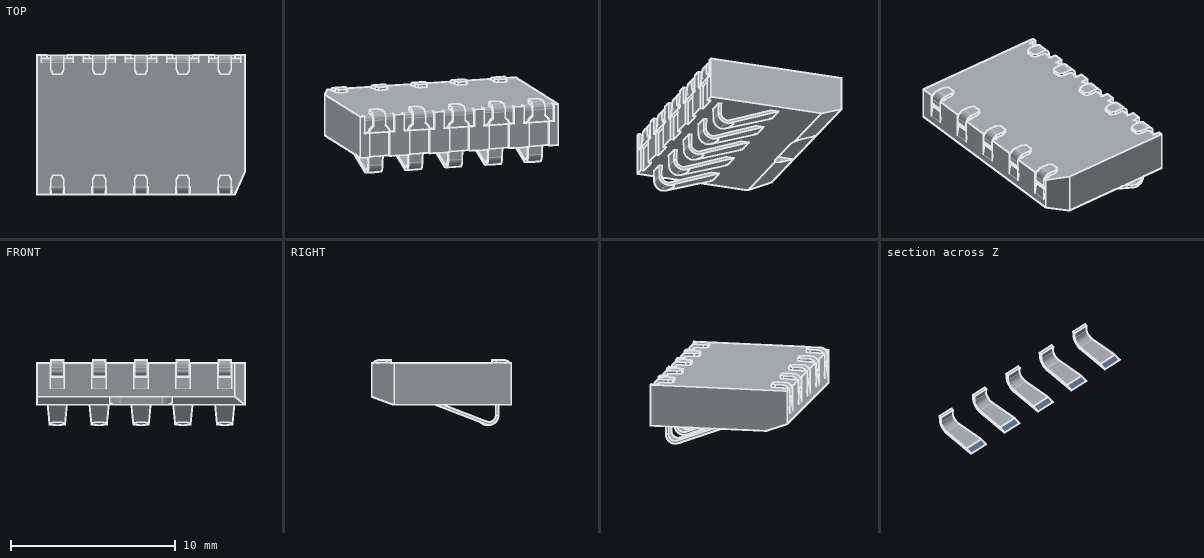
import cadquery as cq
import math


LENGTH = 12.62
WIDTH = 8.48
HEIGHT = 2.54
FRONT = -WIDTH / 2
BACK = WIDTH / 2
CORNER_CUT_X = 0.61
CORNER_CUT_Y = 1.37
BEVEL_RUN = 1.31
BEVEL_RISE = 0.48
NOTCH_LENGTH = 3.8
NOTCH_RADIUS = 0.6
NOTCH_WALL_Y = -2.83

CONTACT_COUNT = 5
PITCH = 2.54
STRIP = 0.18
HOOK_WIDTH = 0.78
HOOK_SETBACK = 0.02
HOOK_RADIUS = 0.44
HOOK_REACH = 1.16
TIP_CUT_X = 0.13
TIP_CUT_Y = 0.26
SEAT_RADIUS = HOOK_RADIUS - STRIP
SEAT_DEPTH = HOOK_SETBACK + STRIP
BEND_DEPTH = HOOK_SETBACK + HOOK_RADIUS
BEND_Z = HEIGHT + STRIP - HOOK_RADIUS

GROOVE_WIDTH = 0.87
GROOVE_BOTTOM_Z = 1.0
FOOT_DEPTH = 0.11
CURL_RADIUS = 0.38
CURL_START_Z = 2.05
CURL_BOTTOM_Z = CURL_START_Z - CURL_RADIUS

RECESS_WIDTH = 1.93
RECESS_BOTTOM_Z = 1.5
SLOT_WIDTH = 1.27
SHOULDER_WIDTH = 1.22
FLARE_WIDTH = 1.62
FLARE_RADIUS = (FLARE_WIDTH - SHOULDER_WIDTH) / 2
SHOULDER_DROP = 0.2

SPRING_OUTER_Y = 3.46
SPRING_RADIUS = 0.57
SPRING_BEND_Z = -0.65
SPRING_BEND_Y = SPRING_OUTER_Y - SPRING_RADIUS
SPRING_ANGLE = math.radians(21)
SPRING_WIDTH = 0.94
ARM_ROOT_WIDTH = 1.18
LEG_WIDTH = 0.88
LEG_ROOT_WIDTH = 1.0
LEG_TAPER_Z = -0.385
EMBED = 0.1

PAD_HEIGHT = 0.06
PAD_WIDTH = 0.82
PAD_RADIUS = 0.615
PAD_AXIS_Y = SPRING_BEND_Y - 0.09
PAD_AXIS_Z = SPRING_BEND_Z + 0.015
PAD_DEPTH = 0.12
PAD_START = -60
PAD_SWEEP = 80

UPPER_LEFT = 135
LOWER_LEFT = 225


def contact_positions():
    first = -PITCH * (CONTACT_COUNT - 1) / 2
    return [first + i * PITCH for i in range(CONTACT_COUNT)]


def extrude_x(profile, width):
    """Extrude a YZ outline symmetrically about x = 0."""
    return profile.extrude(width / 2, both=True)


def arc_point(center_u, center_v, radius, degrees):
    """Point on a circle, the angle counted from the first axis of the sketch plane."""
    angle = math.radians(degrees)
    return (center_u + radius * math.cos(angle), center_v + radius * math.sin(angle))


def mirror_to_back(shape):
    return shape.mirror("XZ")


def make_body():
    body = cq.Workplane("XY").box(LENGTH, WIDTH, HEIGHT, centered=(True, True, False))
    right = LENGTH / 2
    corner = (
        cq.Workplane("XY")
        .polyline([(right - CORNER_CUT_X, FRONT), (right, FRONT), (right, FRONT + CORNER_CUT_Y)])
        .close()
        .extrude(HEIGHT)
    )
    bevel = extrude_x(
        cq.Workplane("YZ")
        .polyline([(FRONT, 0), (FRONT + BEVEL_RUN, 0), (FRONT, BEVEL_RISE)])
        .close(),
        LENGTH,
    )
    notch_depth = NOTCH_WALL_Y - FRONT
    notch = (
        cq.Workplane("XY")
        .center(0, FRONT + notch_depth / 2)
        .rect(NOTCH_LENGTH, notch_depth)
        .extrude(BEVEL_RISE)
        .edges("|Z and >Y")
        .fillet(NOTCH_RADIUS)
    )
    return body.cut(corner).cut(bevel).cut(notch)


def make_edge_cut(width, bottom_z):
    """Cut into the front wall whose upper inner edge is rounded to seat a hook."""
    bend_y = FRONT + BEND_DEPTH
    seat_y = FRONT + SEAT_DEPTH
    profile = (
        cq.Workplane("YZ")
        .moveTo(bend_y, HEIGHT)
        .threePointArc(arc_point(bend_y, BEND_Z, SEAT_RADIUS, UPPER_LEFT), (seat_y, BEND_Z))
        .lineTo(seat_y, bottom_z)
        .lineTo(FRONT, bottom_z)
        .lineTo(FRONT, HEIGHT)
        .close()
    )
    return extrude_x(profile, width)


def make_front_cut():
    """Hook groove with a ledge below the curl and a foot sloping out to the wall."""
    foot = extrude_x(
        cq.Workplane("YZ")
        .polyline([
            (FRONT, GROOVE_BOTTOM_Z),
            (FRONT, CURL_BOTTOM_Z),
            (FRONT + FOOT_DEPTH, CURL_BOTTOM_Z),
        ])
        .close(),
        GROOVE_WIDTH,
    )
    return make_edge_cut(GROOVE_WIDTH, CURL_BOTTOM_Z).union(foot)


def make_back_cut():
    recess = make_edge_cut(RECESS_WIDTH, RECESS_BOTTOM_Z)
    slot = make_edge_cut(SLOT_WIDTH, 0)
    return mirror_to_back(recess.union(slot))


def make_hook_top():
    """Flat tongue on the body top plus the bend over the front edge, down to BEND_Z."""
    bend_y = FRONT + BEND_DEPTH
    outer_y = FRONT + HOOK_SETBACK
    tip_y = outer_y + HOOK_REACH
    top_z = HEIGHT + STRIP
    profile = (
        cq.Workplane("YZ")
        .moveTo(tip_y, HEIGHT)
        .lineTo(tip_y, top_z)
        .lineTo(bend_y, top_z)
        .threePointArc(arc_point(bend_y, BEND_Z, HOOK_RADIUS, UPPER_LEFT), (outer_y, BEND_Z))
        .lineTo(outer_y + STRIP, BEND_Z)
        .threePointArc(arc_point(bend_y, BEND_Z, SEAT_RADIUS, UPPER_LEFT), (bend_y, HEIGHT))
        .close()
    )
    hook = extrude_x(profile, HOOK_WIDTH)
    for side in (-1, 1):
        edge_x = side * HOOK_WIDTH / 2
        tip_cut = (
            cq.Workplane("XY")
            .workplane(offset=HEIGHT)
            .polyline([
                (edge_x, tip_y),
                (edge_x - side * TIP_CUT_X, tip_y),
                (edge_x, tip_y - TIP_CUT_Y),
            ])
            .close()
            .extrude(STRIP)
        )
        hook = hook.cut(tip_cut)
    return hook


def make_front_hook():
    outer_y = FRONT + HOOK_SETBACK
    curl_y = outer_y + CURL_RADIUS
    curl = extrude_x(
        cq.Workplane("YZ")
        .moveTo(outer_y, BEND_Z)
        .lineTo(outer_y, CURL_START_Z)
        .threePointArc(arc_point(curl_y, CURL_START_Z, CURL_RADIUS, LOWER_LEFT), (curl_y, CURL_BOTTOM_Z))
        .lineTo(curl_y, BEND_Z)
        .close(),
        HOOK_WIDTH,
    )
    return make_hook_top().union(curl)


def make_back_hook():
    """Hook whose downward strip widens to shoulders and flares out onto the recess floor."""
    shoulder_z = RECESS_BOTTOM_Z + FLARE_RADIUS
    half_shoulder = SHOULDER_WIDTH / 2
    half_flare = FLARE_WIDTH / 2
    right_mid = arc_point(half_flare, shoulder_z, FLARE_RADIUS, LOWER_LEFT)
    left_mid = (-right_mid[0], right_mid[1])
    strip = (
        cq.Workplane("XZ", origin=(0, BACK - HOOK_SETBACK, 0))
        .moveTo(-HOOK_WIDTH / 2, BEND_Z)
        .lineTo(HOOK_WIDTH / 2, BEND_Z)
        .lineTo(HOOK_WIDTH / 2, shoulder_z + SHOULDER_DROP)
        .lineTo(half_shoulder, shoulder_z)
        .threePointArc(right_mid, (half_flare, RECESS_BOTTOM_Z))
        .lineTo(-half_flare, RECESS_BOTTOM_Z)
        .threePointArc(left_mid, (-half_shoulder, shoulder_z))
        .lineTo(-HOOK_WIDTH / 2, shoulder_z + SHOULDER_DROP)
        .close()
        .extrude(STRIP)
    )
    return mirror_to_back(make_hook_top()).union(strip)


def make_spring_strip():
    """Constant-section strip: vertical leg, bend and rising arm, at full root width."""
    inner_radius = SPRING_RADIUS - STRIP
    arm_start = -90 - math.degrees(SPRING_ANGLE)
    mid_angle = arm_start / 2
    outer_end = arc_point(SPRING_BEND_Y, SPRING_BEND_Z, SPRING_RADIUS, arm_start)
    inner_end = arc_point(SPRING_BEND_Y, SPRING_BEND_Z, inner_radius, arm_start)
    arm_slope = math.tan(SPRING_ANGLE)
    outer_root_y = outer_end[0] - (EMBED - outer_end[1]) / arm_slope
    inner_root_y = inner_end[0] - (EMBED - inner_end[1]) / arm_slope
    profile = (
        cq.Workplane("YZ")
        .moveTo(SPRING_OUTER_Y, EMBED)
        .lineTo(SPRING_OUTER_Y, SPRING_BEND_Z)
        .threePointArc(arc_point(SPRING_BEND_Y, SPRING_BEND_Z, SPRING_RADIUS, mid_angle), outer_end)
        .lineTo(outer_root_y, EMBED)
        .lineTo(inner_root_y, EMBED)
        .lineTo(*inner_end)
        .threePointArc(
            arc_point(SPRING_BEND_Y, SPRING_BEND_Z, inner_radius, mid_angle),
            (SPRING_OUTER_Y - STRIP, SPRING_BEND_Z),
        )
        .lineTo(SPRING_OUTER_Y - STRIP, EMBED)
        .close()
    )
    return extrude_x(profile, ARM_ROOT_WIDTH)


def tapered_block(plane, origin, stations, thickness):
    """Block symmetric about x = 0; stations are (distance along the plane, full width)."""
    right_side = [(width / 2, distance) for distance, width in stations]
    left_side = [(-width / 2, distance) for distance, width in reversed(stations)]
    return cq.Workplane(plane, origin=origin).polyline(right_side + left_side).close().extrude(thickness)


def make_spring_envelope():
    """Side limits of the spring: arm and bend tapered in plan, leg tapered in elevation."""
    bottom_z = SPRING_BEND_Z - SPRING_RADIUS
    arm_root_y = SPRING_BEND_Y + bottom_z / math.tan(SPRING_ANGLE)
    arm_tip_y = arm_root_y - STRIP / math.sin(SPRING_ANGLE)
    arm = tapered_block(
        "XY",
        (0, 0, bottom_z),
        [(arm_tip_y, ARM_ROOT_WIDTH), (arm_root_y, ARM_ROOT_WIDTH), (SPRING_BEND_Y, SPRING_WIDTH)],
        EMBED - bottom_z,
    )
    bend = tapered_block(
        "XY",
        (0, 0, bottom_z),
        [(SPRING_BEND_Y, SPRING_WIDTH), (SPRING_OUTER_Y, LEG_WIDTH)],
        SPRING_RADIUS,
    )
    leg = tapered_block(
        "XZ",
        (0, SPRING_OUTER_Y, 0),
        [(SPRING_BEND_Z, LEG_WIDTH), (LEG_TAPER_Z, LEG_WIDTH), (0, LEG_ROOT_WIDTH), (EMBED, LEG_ROOT_WIDTH)],
        STRIP,
    )
    return arm.union(bend).union(leg)


def make_contact_pad():
    """Pad crowned both ways: an arc swept about an axis parallel to X."""
    lowest_z = PAD_AXIS_Z - PAD_RADIUS
    inner_z = lowest_z + PAD_DEPTH
    edge_z = lowest_z + PAD_HEIGHT
    pad = (
        cq.Workplane("XZ", origin=(0, PAD_AXIS_Y, 0))
        .moveTo(-PAD_WIDTH / 2, inner_z)
        .lineTo(-PAD_WIDTH / 2, edge_z)
        .threePointArc((0, lowest_z), (PAD_WIDTH / 2, edge_z))
        .lineTo(PAD_WIDTH / 2, inner_z)
        .close()
        .revolve(PAD_SWEEP, (1, PAD_AXIS_Z), (-1, PAD_AXIS_Z))
    )
    axis_start = (0, PAD_AXIS_Y, PAD_AXIS_Z)
    axis_end = (1, PAD_AXIS_Y, PAD_AXIS_Z)
    return pad.rotate(axis_start, axis_end, 90 + PAD_START)


def make_contact():
    spring = make_spring_strip().intersect(make_spring_envelope()).union(make_contact_pad())
    return spring.union(make_front_hook()).union(make_back_hook())


result = make_body()
contact = make_contact()
front_cut = make_front_cut()
back_cut = make_back_cut()
for x in contact_positions():
    result = result.cut(front_cut.translate((x, 0, 0)))
    result = result.cut(back_cut.translate((x, 0, 0)))
    result = result.union(contact.translate((x, 0, 0)))